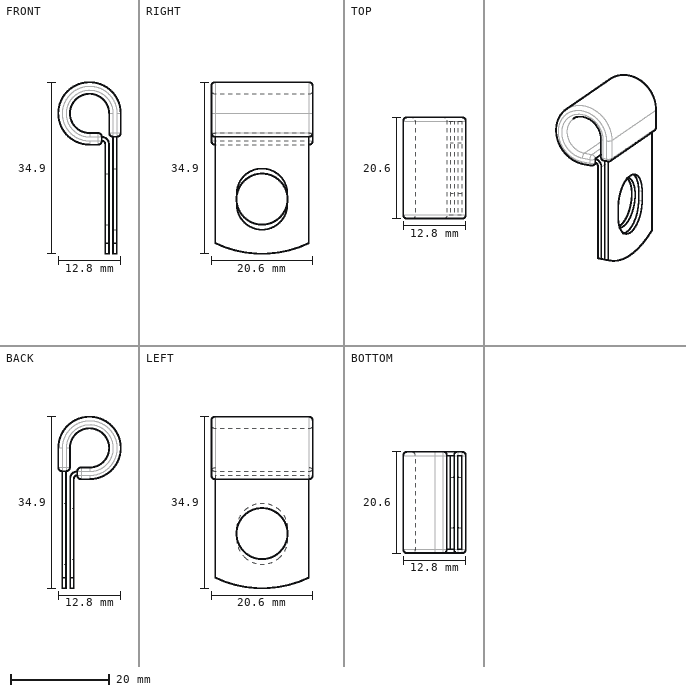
import cadquery as cq
import math

overall_height = 34.9
overall_width = 20.63
strap_thickness = 0.8
cushion_wall = 0.8
loop_outer_diameter = 12.75
upright_cushion_length = 4.75
lower_cushion_length = 2.5
leg_gap = 0.8
hole_diameter = 10.35
hole_height = 11.15
slot_travel = 2.1
tip_radius = 22.0

loop_outer_radius = loop_outer_diameter / 2
strap_width = overall_width - 2 * cushion_wall
strap_outer_radius = loop_outer_radius - cushion_wall
strap_inner_radius = strap_outer_radius - strap_thickness
loop_inner_radius = strap_inner_radius - cushion_wall
bottom_z = loop_outer_radius - overall_height
tip_rise = tip_radius - math.sqrt(tip_radius**2 - (strap_width / 2)**2)
bent_leg_outer_x = strap_inner_radius - leg_gap
bent_leg_inner_x = bent_leg_outer_x - strap_thickness
bend_outer_radius = bent_leg_outer_x - lower_cushion_length
bend_inner_radius = bend_outer_radius - strap_thickness


def on_circle(radius, degrees):
    """Point on a circle about the loop axis."""
    angle = math.radians(degrees)
    return (radius * math.cos(angle), radius * math.sin(angle))


def make_cushion():
    """Open loop with two straight ends and every outer edge rounded."""
    cushion = (
        cq.Workplane("XZ")
        .moveTo(loop_outer_radius, -upright_cushion_length)
        .lineTo(loop_outer_radius, 0)
        .threePointArc(on_circle(loop_outer_radius, 135), (0, -loop_outer_radius))
        .lineTo(lower_cushion_length, -loop_outer_radius)
        .lineTo(lower_cushion_length, -loop_inner_radius)
        .lineTo(0, -loop_inner_radius)
        .threePointArc(on_circle(loop_inner_radius, 135), (loop_inner_radius, 0))
        .lineTo(loop_inner_radius, -upright_cushion_length)
        .close()
        .extrude(overall_width / 2, both=True)
    )
    middle = (loop_inner_radius + loop_outer_radius) / 2
    upright_end = cq.selectors.NearestToPointSelector((middle, 0, -upright_cushion_length))
    lower_end = cq.selectors.NearestToPointSelector((lower_cushion_length, 0, -middle))
    sharp_edges = cushion.faces("|Y").edges()
    for end_face in (upright_end, lower_end):
        sharp_edges = sharp_edges.add(cushion.faces(end_face).edges("|Y"))
    return sharp_edges.fillet(cushion_wall)


def make_strap():
    """Metal strip through the cushion, ending in two parallel legs."""
    return (
        cq.Workplane("XZ")
        .moveTo(strap_outer_radius, bottom_z)
        .lineTo(strap_outer_radius, 0)
        .threePointArc(on_circle(strap_outer_radius, 135), (0, -strap_outer_radius))
        .lineTo(lower_cushion_length, -strap_outer_radius)
        .radiusArc((bent_leg_inner_x, -strap_outer_radius - bend_inner_radius), bend_inner_radius)
        .lineTo(bent_leg_inner_x, bottom_z)
        .lineTo(bent_leg_outer_x, bottom_z)
        .lineTo(bent_leg_outer_x, -strap_inner_radius - bend_outer_radius)
        .radiusArc((lower_cushion_length, -strap_inner_radius), -bend_outer_radius)
        .lineTo(0, -strap_inner_radius)
        .threePointArc(on_circle(strap_inner_radius, 135), (strap_inner_radius, 0))
        .lineTo(strap_inner_radius, bottom_z)
        .close()
        .extrude(strap_width / 2, both=True)
    )


def make_leg_envelope():
    """Face-on outline of the strap: straight sides and an arched lower end."""
    half_width = strap_width / 2
    return (
        cq.Workplane("YZ")
        .moveTo(-half_width, loop_outer_radius)
        .lineTo(-half_width, bottom_z + tip_rise)
        .threePointArc((0, bottom_z), (half_width, bottom_z + tip_rise))
        .lineTo(half_width, loop_outer_radius)
        .close()
        .extrude(loop_outer_radius, both=True)
    )


hole = (
    cq.Workplane("YZ", origin=(bent_leg_inner_x, 0, bottom_z + hole_height))
    .circle(hole_diameter / 2)
    .extrude(strap_thickness)
)

slot = (
    cq.Workplane("YZ", origin=(strap_inner_radius, 0, bottom_z + hole_height))
    .slot2D(hole_diameter + slot_travel, hole_diameter, 90)
    .extrude(strap_thickness)
)

strap = make_strap().intersect(make_leg_envelope()).cut(hole).cut(slot)
result = make_cushion().union(strap)